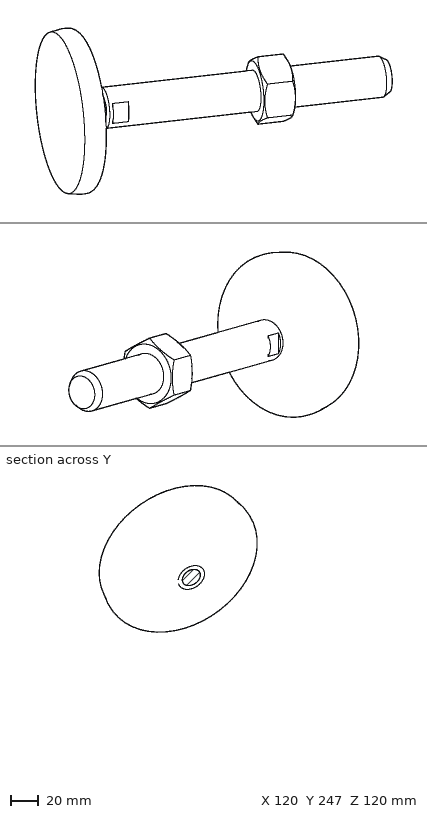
import cadquery as cq
import math

total_length = 247.0

foot_diameter = 120.0
foot_underside_diameter = 117.0
rim_bottom = 9.1
rim_top = 12.0
shoulder_radius = 5.2
flare_mid = (28.2, 23.7)
flare_top = (15.8, 29.1)
foot_top = (10.4, 31.5)
crown_bulge = (13.3, 30.6)

neck_diameter = 14.3
neck_overlap = 2.5

stud_diameter = 30.0
stud_bottom = 32.9
stud_chamfer_length = 5.2
stud_chamfer_depth = 3.0

flat_width = 25.7
flat_bottom = 35.5
flat_top = 47.5

nut_width = 45.0
nut_bottom = 147.0
nut_height = 24.0
nut_face_diameter = 43.5
nut_chamfer_angle = 30.0
nut_corner_diameter = nut_width / math.cos(math.radians(30))


def plane_at(level):
    """Plane across the axis, with its normal along +Y."""
    return cq.Plane(origin=(0, level, 0), xDir=(1, 0, 0), normal=(0, 1, 0))


def cylinder(diameter, bottom, top):
    return cq.Workplane(plane_at(bottom)).circle(diameter / 2).extrude(top - bottom)


def revolve_profile(profile):
    return profile.close().revolve(360, (0, 0, 0), (0, 1, 0))


def make_foot():
    rim_radius = foot_diameter / 2
    center_x = rim_radius - shoulder_radius

    def shoulder_point(angle):
        a = math.radians(angle)
        return (center_x + shoulder_radius * math.cos(a), rim_top + shoulder_radius * math.sin(a))

    profile = (
        cq.Workplane("XY")
        .lineTo(foot_underside_diameter / 2, 0)
        .lineTo(rim_radius, rim_bottom)
        .lineTo(rim_radius, rim_top)
        .threePointArc(shoulder_point(45), shoulder_point(90))
        .threePointArc(flare_mid, flare_top)
        .threePointArc(crown_bulge, foot_top)
        .lineTo(0, foot_top[1])
    )
    return revolve_profile(profile)


def make_stud():
    radius = stud_diameter / 2
    profile = (
        cq.Workplane("XY")
        .moveTo(0, stud_bottom)
        .lineTo(radius, stud_bottom)
        .lineTo(radius, total_length - stud_chamfer_length)
        .lineTo(radius - stud_chamfer_depth, total_length)
        .lineTo(0, total_length)
    )
    stud = revolve_profile(profile)
    flat_zone = cylinder(2 * stud_diameter, flat_bottom, flat_top)
    between_flats = (
        cq.Workplane(plane_at(flat_bottom))
        .rect(flat_width, 2 * stud_diameter)
        .extrude(flat_top - flat_bottom)
    )
    return stud.cut(flat_zone.cut(between_flats))


def make_nut():
    """Hexagon nut with corners at +Z and -Z and both ends chamfered."""
    nut_top = nut_bottom + nut_height
    hexagon = (
        cq.Workplane(plane_at(nut_bottom))
        .transformed(rotate=(0, 0, 90))
        .polygon(6, nut_corner_diameter)
        .extrude(nut_height)
    )
    face_radius = nut_face_diameter / 2
    corner_radius = nut_corner_diameter / 2
    drop = (corner_radius - face_radius) * math.tan(math.radians(nut_chamfer_angle))
    envelope = (
        cq.Workplane("XY")
        .moveTo(0, nut_bottom)
        .lineTo(face_radius, nut_bottom)
        .lineTo(corner_radius, nut_bottom + drop)
        .lineTo(corner_radius, nut_top - drop)
        .lineTo(face_radius, nut_top)
        .lineTo(0, nut_top)
    )
    return hexagon.intersect(revolve_profile(envelope))


neck = cylinder(neck_diameter, foot_top[1] - neck_overlap, stud_bottom + neck_overlap)
result = make_foot().union(neck).union(make_stud()).union(make_nut())